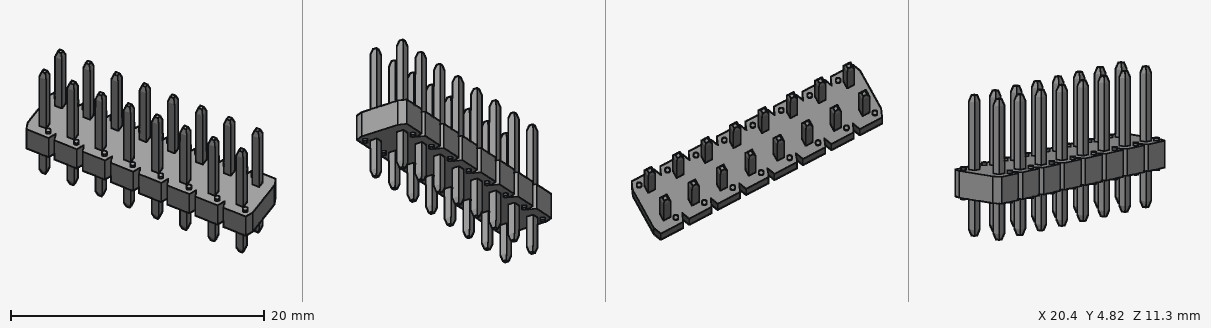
import cadquery as cq

columns = 8
rows = 2
pitch = 2.55

body_length = columns * pitch
body_width = 4.82
body_height = 2.15
notch_half_width = 0.26
notch_depth = 0.67

pin_side = 0.63
tip_side = 0.33
tip_length = 0.5
pin_length = 11.25
pin_below_body = 3.15

nub_diameter = 0.4
nub_height = 0.2
nub_offset_x = 0.65
nub_offset_y = 0.57


def grid_position(index, count):
    """Coordinate of one grid line, with the grid centred on the origin."""
    return (index - (count - 1) / 2) * pitch


column_x = [grid_position(i, columns) for i in range(columns)]
row_y = [grid_position(i, rows) for i in range(rows)]
pin_points = [(x, y) for x in column_x for y in row_y]


def make_body():
    """Bar with V-notches between the columns and matching bevels at its corners."""
    body = cq.Workplane("XY").box(body_length, body_width, body_height, centered=(True, True, False))
    side_y = body_width / 2
    for i in range(columns + 1):
        notch_x = i * pitch - body_length / 2
        for side in (-1, 1):
            notch = (
                cq.Workplane("XY")
                .moveTo(notch_x - notch_half_width, side * side_y)
                .lineTo(notch_x + notch_half_width, side * side_y)
                .lineTo(notch_x, side * (side_y - notch_depth))
                .close()
                .extrude(body_height)
            )
            body = body.cut(notch)
    return body


def make_tip(base_z, direction):
    """Truncated pyramid from the pin section at base_z, pointing up (1) or down (-1)."""
    return (
        cq.Workplane("XY", origin=(0, 0, base_z))
        .rect(pin_side, pin_side)
        .workplane(offset=direction * tip_length)
        .rect(tip_side, tip_side)
        .loft(ruled=True)
    )


def make_pin():
    """One pin on the z axis: a square shank between two tapered tips."""
    shank_bottom = tip_length - pin_below_body
    shank_length = pin_length - 2 * tip_length
    shank = cq.Workplane("XY", origin=(0, 0, shank_bottom)).rect(pin_side, pin_side).extrude(shank_length)
    lower_tip = make_tip(shank_bottom, -1)
    upper_tip = make_tip(shank_bottom + shank_length, 1)
    return shank.union(lower_tip).union(upper_tip)


def make_nubs():
    """Pegs through the body, outward of each pin: to its right in front, to its left behind."""
    points = []
    for x, y in pin_points:
        side = 1 if y > 0 else -1
        points.append((x - side * nub_offset_x, y + side * nub_offset_y))
    return (
        cq.Workplane("XY", origin=(0, 0, -nub_height))
        .pushPoints(points)
        .circle(nub_diameter / 2)
        .extrude(body_height + 2 * nub_height)
    )


result = make_body().union(make_nubs())
pin = make_pin()
for x, y in pin_points:
    result = result.union(pin.translate((x, y, 0)))